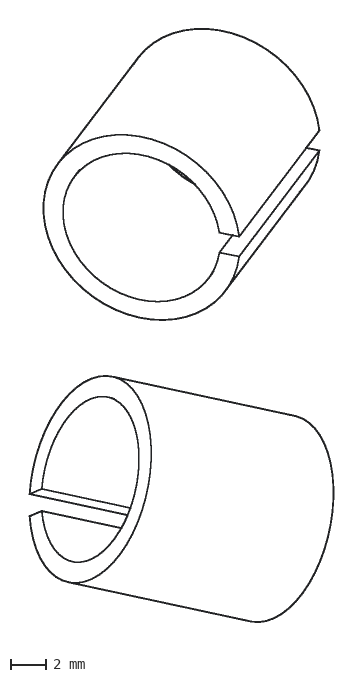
import cadquery as cq

length = 12.7
outer_diameter = 11.94
wall = 1.2
slit_width = 1.31

outer_radius = outer_diameter / 2
inner_radius = outer_radius - wall

sleeve = (
    cq.Workplane("XZ")
    .circle(outer_radius)
    .circle(inner_radius)
    .extrude(-length)
)

slit = cq.Workplane("XY").box(
    outer_diameter, length, slit_width, centered=(False, False, True)
)

result = sleeve.cut(slit)